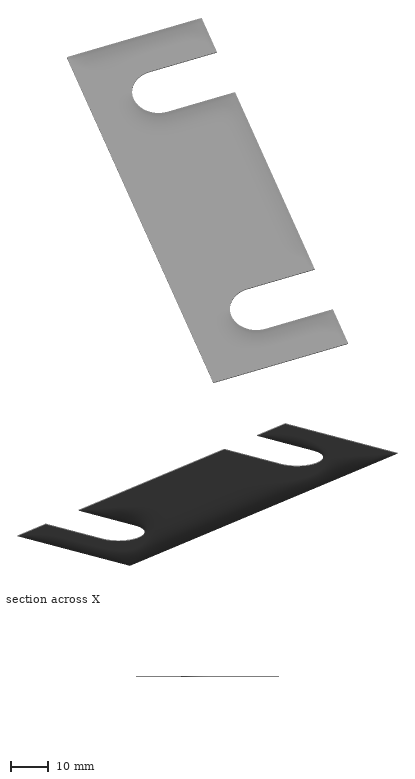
import cadquery as cq

length = 114.3
width = 38.1
thickness = 0.25

slot_width = 14.1
slot_radius = slot_width / 2
slot_spacing = 76.2
slot_depth = 26.1

back_edge = width / 2
arc_center_y = back_edge - slot_depth + slot_radius


def slot_cutter(center_x):
    """U-shaped cutter through the plate, open at the back edge."""
    left = center_x - slot_radius
    right = center_x + slot_radius
    return (
        cq.Workplane("XY")
        .moveTo(left, back_edge)
        .lineTo(left, arc_center_y)
        .threePointArc((center_x, arc_center_y - slot_radius), (right, arc_center_y))
        .lineTo(right, back_edge)
        .close()
        .extrude(thickness)
    )


result = cq.Workplane("XY").box(length, width, thickness, centered=(True, True, False))
for side in (-1, 1):
    result = result.cut(slot_cutter(side * slot_spacing / 2))